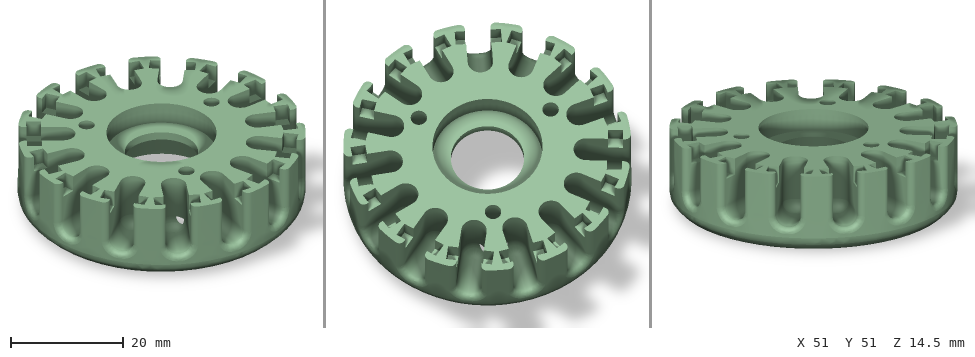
import cadquery as cq
import math

outer_radius = 25.5
height = 14.5
rim_chamfer = 2.0
rim_blend = 2.0

slot_count = 15
slot_pitch = 360.0 / slot_count
first_slot_angle = 90.0
slot_width = 4.5
slot_center_radius = 17.5
slot_floor_z = 4.5
slot_floor_fillet = 2.0
slot_mouth_fillet = 1.0

notch_span = 8.2
notch_inner_radius = 21.25
notch_outer_radius = 23.9
notch_depth = 3.0

bore_diameter = 13.0
seat_diameter = 19.5
upper_seat_depth = 4.0
lip_thickness = 1.5

recess_radius = 18.0
recess_depth = 4.0

screw_count = 3
screw_diameter = 2.9
nut_sides = 6
nut_across_flats = 6.0
nut_pocket_depth = 2.5
screw_circle_radius = 13.5
first_screw_angle = first_slot_angle + slot_pitch / 2


def cylinder(radius, bottom_z, top_z):
    """Cylinder on the Z axis between two heights."""
    return cq.Workplane("XY").workplane(offset=bottom_z).circle(radius).extrude(top_z - bottom_z)


def turn(shape, angle):
    """Turn a shape about the Z axis."""
    return shape.rotate((0, 0, 0), (0, 0, 1), angle)


def cut_around(body, cutter, count, first_angle):
    """Cut equally spaced copies of a cutter modeled along +X."""
    for index in range(count):
        body = body.cut(turn(cutter, first_angle + index * 360.0 / count))
    return body


def make_body():
    """Disk with a chamfered lower rim, blended into the wall and the underside."""
    body = cylinder(outer_radius, 0, height).faces("<Z").edges().chamfer(rim_chamfer)
    cone_edges = body.faces("%CONE").edges("%CIRCLE")
    return cone_edges.fillet(rim_blend)


def make_slot():
    """Slot cutter along +X with a round inner end and a rounded floor."""
    slot_end_radius = outer_radius + slot_width
    length = slot_end_radius - slot_center_radius + slot_width
    return (
        cq.Workplane("XY")
        .workplane(offset=slot_floor_z)
        .center((slot_center_radius + slot_end_radius) / 2, 0)
        .slot2D(length, slot_width)
        .extrude(height - slot_floor_z)
        .faces("<Z")
        .edges()
        .fillet(slot_floor_fillet)
    )


def make_notch():
    """Box that crosses a slot and leaves a notch in each of its walls."""
    notch_length = notch_outer_radius - notch_inner_radius
    notch = cq.Workplane("XY").box(notch_length, notch_span, notch_depth, centered=(False, True, False))
    return notch.translate((notch_inner_radius, 0, height - notch_depth))


def round_slot_mouths(body):
    """Round the edges where the slots run out through the outer wall."""
    edge_zone = 0.1
    mouth_edges = []
    for edge in body.edges().vals():
        middle = edge.positionAt(0.5)
        on_wall = abs(math.hypot(middle.x, middle.y) - outer_radius) < edge_zone
        if on_wall and slot_floor_z - edge_zone < middle.z < height - edge_zone:
            mouth_edges.append(edge)
    return body.newObject(mouth_edges).fillet(slot_mouth_fillet)


def cut_center(body):
    """Cut the bore, the seats above and below its lip, and the underside recess."""
    upper_seat_z = height - upper_seat_depth
    lower_seat_z = upper_seat_z - lip_thickness
    body = body.cut(cylinder(bore_diameter / 2, 0, height))
    body = body.cut(cylinder(seat_diameter / 2, upper_seat_z, height))
    body = body.cut(cylinder(seat_diameter / 2, 0, lower_seat_z))
    return body.cut(cylinder(recess_radius, 0, recess_depth))


def make_screw_hole():
    """Through hole with a nut pocket that has one flat facing straight outward."""
    half_sector = 180.0 / nut_sides
    nut_across_corners = nut_across_flats / math.cos(math.radians(half_sector))
    nut_pocket_top_z = recess_depth + nut_pocket_depth
    nut_pocket = cq.Workplane("XY").polygon(nut_sides, nut_across_corners).extrude(nut_pocket_top_z)
    hole = cylinder(screw_diameter / 2, 0, height).union(turn(nut_pocket, half_sector))
    return hole.translate((screw_circle_radius, 0, 0))


result = make_body()
result = cut_around(result, make_slot(), slot_count, first_slot_angle)
result = round_slot_mouths(result)
result = cut_around(result, make_notch(), slot_count, first_slot_angle)
result = cut_center(result)
result = cut_around(result, make_screw_hole(), screw_count, first_screw_angle)